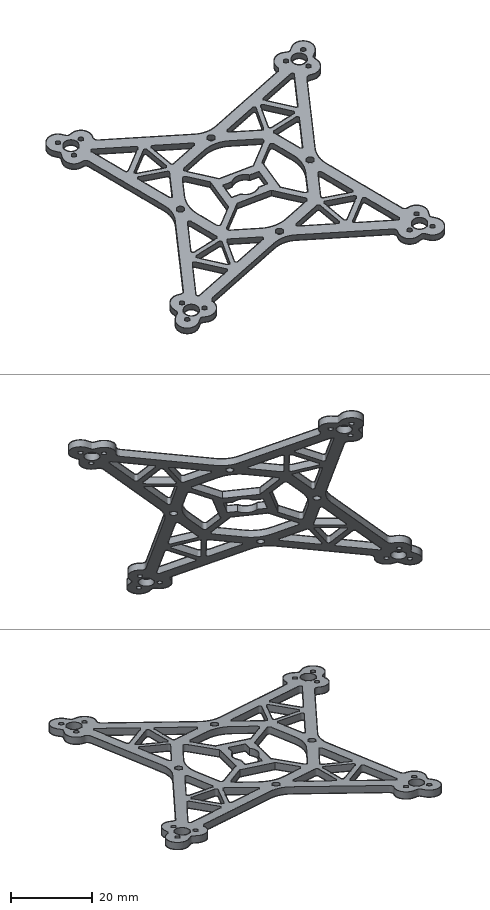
import cadquery as cq
import math

THICKNESS = 2.0
ARM_COUNT = 4
BAR_WIDTH = 3.0
BAR_ANGLE = 22.0
INNER_EDGE_OFFSET = 15.25
ARM_CORNER_RADIUS = 7.5
RING_CORNER_RADIUS = 9.0

OVERALL_SIZE = 102.8
LOBE_RADIUS = 3.0
SCREW_CIRCLE_RADIUS = 3.35
LOBE_COUNT = 3
FIRST_LOBE_DIRECTION = 90
SHAFT_HOLE_DIAMETER = 4.0
SCREW_HOLE_DIAMETER = 1.3
LOBE_BLEND_RADIUS = 0.6
MOUNT_BLEND_RADIUS = 1.2

FRAME_HOLE_DIAMETER = 2.0
FRAME_HOLE_SPACING = 25.6

CROSSBAR_OUTER = 29.0
CROSSBAR_WIDTH = 1.5
BRACE_WIDTH = 1.25
BRACE_ANGLE = 58.0
BRACE_APEX = 19.9
WINDOW_RADIUS = 0.5

FRAME_HALF_LENGTH = 7.25
FRAME_HALF_WIDTH = 4.77
FRAME_ANGLE = 45.0
SPOKE_WIDTH = 1.7
SPOKE_RADIUS = 0.7
SPOKE_END_SPAN = 2.5
SLOT_LENGTH = 10.1
SLOT_WIDTH = 4.7
SLOT_CORNER_RADIUS = 0.2
SLOT_BULGE_DIAMETER = 6.85

SIDE_LOBE_TILT = math.radians(360 / LOBE_COUNT - FIRST_LOBE_DIRECTION)
TILT_SIN = math.sin(math.radians(BAR_ANGLE))
TILT_COS = math.cos(math.radians(BAR_ANGLE))
MOTOR_DISTANCE = OVERALL_SIZE / 2 - LOBE_RADIUS - SCREW_CIRCLE_RADIUS
OUTER_EDGE_OFFSET = INNER_EDGE_OFFSET + BAR_WIDTH
OUTER_CORNER = OUTER_EDGE_OFFSET / (TILT_SIN + TILT_COS)
INNER_CORNER = INNER_EDGE_OFFSET / (TILT_SIN + TILT_COS)
RING_AXIS_REACH = INNER_EDGE_OFFSET / TILT_COS
EDGE_SEARCH_REACH = 0.3


def prism(points):
    return cq.Workplane("XY").polyline(points).close().extrude(THICKNESS)


def rounded_prism(points, radius):
    return prism(points).edges("|Z").fillet(radius)


def cylinder(x, y, diameter):
    return cq.Workplane("XY").center(x, y).circle(diameter / 2).extrude(THICKNESS)


def turned(body, angle):
    return body.rotate((0, 0, 0), (0, 0, 1), angle)


def around(body):
    """Union of the body repeated once for each arm."""
    pattern = body
    for index in range(1, ARM_COUNT):
        pattern = pattern.union(turned(body, index * 360 / ARM_COUNT))
    return pattern


def vertical_edge_near(x, y, reach=EDGE_SEARCH_REACH):
    return cq.selectors.BoxSelector((x - reach, y - reach, 0), (x + reach, y + reach, THICKNESS))


def crossing(line_a, line_b):
    """Point where two lines meet, each given as (a, b, c) for a*x + b*y = c."""
    a1, b1, c1 = line_a
    a2, b2, c2 = line_b
    determinant = a1 * b2 - a2 * b1
    return ((c1 * b2 - c2 * b1) / determinant, (a1 * c2 - a2 * c1) / determinant)


def mirrored(point):
    return (-point[0], point[1])


def lobe_directions():
    return [FIRST_LOBE_DIRECTION + index * 360 / LOBE_COUNT for index in range(LOBE_COUNT)]


def motor_mount():
    """Three rounded lobes around the motor shaft, for the +Y arm."""
    mount = cylinder(0, MOTOR_DISTANCE, 2 * LOBE_RADIUS)
    for direction in lobe_directions():
        lobe = (
            cq.Workplane("XY")
            .rect(SCREW_CIRCLE_RADIUS, 2 * LOBE_RADIUS)
            .extrude(THICKNESS)
            .translate((SCREW_CIRCLE_RADIUS / 2, 0, 0))
            .union(cylinder(SCREW_CIRCLE_RADIUS, 0, 2 * LOBE_RADIUS))
        )
        mount = mount.union(turned(lobe, direction).translate((0, MOTOR_DISTANCE, 0)))
    return mount


def arm_body():
    """Solid tapering arm along +Y with its motor mount blended on."""
    tip = OUTER_EDGE_OFFSET / TILT_SIN
    taper = prism([(0, 0), (OUTER_CORNER, OUTER_CORNER), (0, tip), (-OUTER_CORNER, OUTER_CORNER)])
    body = taper.union(motor_mount())

    lobe_corner_x = LOBE_RADIUS
    lobe_corner_y = MOTOR_DISTANCE + LOBE_RADIUS * math.tan(SIDE_LOBE_TILT)

    lobe_x = SCREW_CIRCLE_RADIUS * math.cos(SIDE_LOBE_TILT)
    lobe_y = MOTOR_DISTANCE - SCREW_CIRCLE_RADIUS * math.sin(SIDE_LOBE_TILT)
    gap = OUTER_EDGE_OFFSET - lobe_x * TILT_COS - lobe_y * TILT_SIN
    half_chord = math.sqrt(LOBE_RADIUS**2 - gap**2)
    root_x = lobe_x + gap * TILT_COS + half_chord * TILT_SIN
    root_y = lobe_y + gap * TILT_SIN - half_chord * TILT_COS

    for side in (-1, 1):
        lobe_corner = vertical_edge_near(side * lobe_corner_x, lobe_corner_y)
        body = body.edges("|Z").edges(lobe_corner).fillet(LOBE_BLEND_RADIUS)
        arm_root = vertical_edge_near(side * root_x, root_y)
        body = body.edges("|Z").edges(arm_root).fillet(MOUNT_BLEND_RADIUS)
    return body


def plate_blank():
    blank = around(arm_body())
    for x in (-OUTER_CORNER, OUTER_CORNER):
        for y in (-OUTER_CORNER, OUTER_CORNER):
            blank = blank.edges("|Z").edges(vertical_edge_near(x, y)).fillet(ARM_CORNER_RADIUS)
    return blank


def motor_holes():
    holes = cylinder(0, MOTOR_DISTANCE, SHAFT_HOLE_DIAMETER)
    for direction in lobe_directions():
        angle = math.radians(direction)
        x = SCREW_CIRCLE_RADIUS * math.cos(angle)
        y = MOTOR_DISTANCE + SCREW_CIRCLE_RADIUS * math.sin(angle)
        holes = holes.union(cylinder(x, y, SCREW_HOLE_DIAMETER))
    return holes


def truss_windows():
    """The four openings of the +Y arm: outer, middle and one on each side."""
    brace_sin = math.sin(math.radians(BRACE_ANGLE))
    brace_cos = math.cos(math.radians(BRACE_ANGLE))
    crossbar_inner = CROSSBAR_OUTER - CROSSBAR_WIDTH
    brace_upper_offset = -BRACE_APEX * brace_cos

    arm_inner = (TILT_COS, TILT_SIN, INNER_EDGE_OFFSET)
    ring_outer = (TILT_SIN, TILT_COS, OUTER_EDGE_OFFSET)
    brace_upper = (brace_sin, -brace_cos, brace_upper_offset)
    brace_lower = (brace_sin, -brace_cos, brace_upper_offset + BRACE_WIDTH)

    outer_corner = crossing(arm_inner, (0, 1, CROSSBAR_OUTER))
    outer_tip = (0, INNER_EDGE_OFFSET / TILT_SIN)
    windows = rounded_prism([outer_corner, outer_tip, mirrored(outer_corner)], WINDOW_RADIUS)

    middle_corner = crossing(brace_upper, (0, 1, crossbar_inner))
    middle = [(0, BRACE_APEX), middle_corner, mirrored(middle_corner)]
    windows = windows.union(rounded_prism(middle, WINDOW_RADIUS))

    side = [
        crossing(brace_lower, arm_inner),
        crossing(brace_lower, ring_outer),
        crossing(arm_inner, ring_outer),
    ]
    side_window = rounded_prism(side, WINDOW_RADIUS)
    return windows.union(side_window).union(side_window.mirror("YZ"))


def ring_opening():
    """Eight-sided opening inside the ring, rounded at its diagonal corners."""
    opening = prism([
        (RING_AXIS_REACH, 0), (INNER_CORNER, INNER_CORNER),
        (0, RING_AXIS_REACH), (-INNER_CORNER, INNER_CORNER),
        (-RING_AXIS_REACH, 0), (-INNER_CORNER, -INNER_CORNER),
        (0, -RING_AXIS_REACH), (INNER_CORNER, -INNER_CORNER),
    ])
    for x in (-INNER_CORNER, INNER_CORNER):
        for y in (-INNER_CORNER, INNER_CORNER):
            opening = opening.edges("|Z").edges(vertical_edge_near(x, y)).fillet(RING_CORNER_RADIUS)
    return opening


def spokes_and_frame():
    """Solid centre block and the four offset spokes that carry it."""
    frame = cq.Workplane("XY").rect(2 * FRAME_HALF_LENGTH, 2 * FRAME_HALF_WIDTH).extrude(THICKNESS)
    web = turned(frame, FRAME_ANGLE)
    reach = INNER_EDGE_OFFSET + BAR_WIDTH / 2
    upper_spoke = cq.Workplane("XY").rect(SPOKE_WIDTH, reach, centered=False).extrude(THICKNESS)
    right_spoke = cq.Workplane("XY").rect(reach, SPOKE_WIDTH, centered=False).extrude(THICKNESS)
    for spoke in (upper_spoke, right_spoke):
        web = web.union(spoke).union(turned(spoke, 180))
    return web


def ring_windows():
    """The four openings between the ring, the spokes and the centre frame."""
    windows = ring_opening().cut(spokes_and_frame())
    spoke_ends = cq.selectors.BoxSelector(
        (-SPOKE_END_SPAN, RING_AXIS_REACH - SPOKE_END_SPAN, 0),
        (SPOKE_END_SPAN, RING_AXIS_REACH + SPOKE_END_SPAN, THICKNESS),
    )
    for _ in range(ARM_COUNT):
        windows = windows.edges("|Z").edges(spoke_ends).fillet(SPOKE_RADIUS)
        windows = turned(windows, 360 / ARM_COUNT)
    return windows


def centre_slot():
    """Rectangular opening of the centre frame, widened by a round at mid-length."""
    slot = cq.Workplane("XY").rect(SLOT_LENGTH, SLOT_WIDTH).extrude(THICKNESS)
    slot = slot.edges("|Z").fillet(SLOT_CORNER_RADIUS)
    return turned(slot, FRAME_ANGLE).union(cylinder(0, 0, SLOT_BULGE_DIAMETER))


def frame_holes():
    half = FRAME_HOLE_SPACING / 2
    return around(cylinder(half, half, FRAME_HOLE_DIAMETER))


result = (
    plate_blank()
    .cut(around(motor_holes()))
    .cut(around(truss_windows()))
    .cut(ring_windows())
    .cut(centre_slot())
    .cut(frame_holes())
)